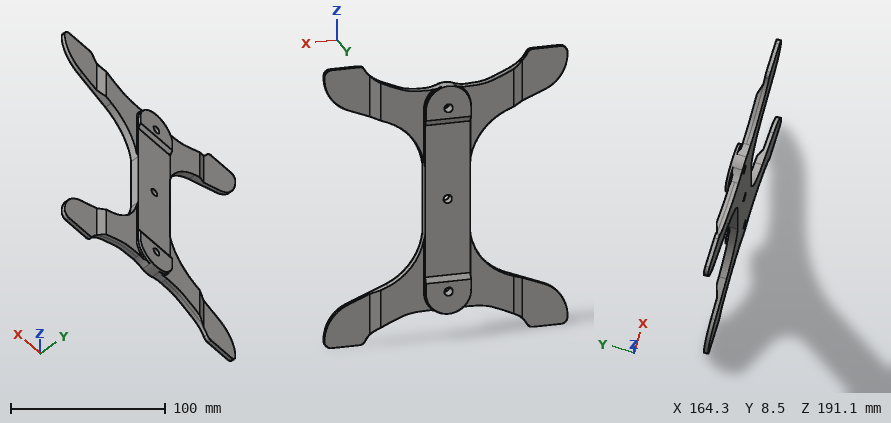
import cadquery as cq
import math

width = 164.3
height = 191.1
plate_level = 2.9
arm_level = 5.4
spine_level = 6.5
boss_level = 8.5

spine_half_width = 15.3
flare_width = 0.5
hole_diameter = 5.5
hole_spacing = 63.0
boss_ramp_top = 56.0
boss_ramp_foot = 52.2

ramp_top_x = 45.1
ramp_foot_x = 51.6

crown_half_width = 4.5
scoop_bottom = (13.4, 75.7)
scoop_middle = (35.4, 79.9)
scoop_shoulder = (48.3, 86.2)
scoop_top = (54.8, 93.0)
scoop_start_direction = (-0.5, -0.85)
pad_inner_x = 58.7
pad_outer_x = 78.4
toe_side_z = 90.8
toe_belly = (76.5, 74.1)
toe_heel = (65.5, 66.5)
throat_top = (40.1, 56.4)
throat_middle = (24.0, 44.3)
throat_bottom_z = 23.5
inner_corner = (56.2, 94.8)
outer_corner = (80.8, 94.2)


def crown_height(x):
    """Z of the rounded crown, which is concentric with the end screw hole."""
    return hole_spacing + math.sqrt(spine_half_width**2 - x**2)


def quarter_outline():
    """Upper right quarter of the plate, as a sketch in X and Z."""
    side_x = width / 2
    top_z = height / 2
    crown_edge = (crown_half_width, crown_height(crown_half_width))
    crown_middle = (crown_half_width / 2, crown_height(crown_half_width / 2))
    return (
        cq.Workplane("XZ")
        .lineTo(spine_half_width, 0)
        .lineTo(spine_half_width, throat_bottom_z)
        .threePointArc(throat_middle, throat_top)
        .lineTo(*toe_heel)
        .threePointArc(toe_belly, (side_x, toe_side_z))
        .threePointArc(outer_corner, (pad_outer_x, top_z))
        .lineTo(pad_inner_x, top_z)
        .threePointArc(inner_corner, scoop_top)
        .spline(
            [scoop_shoulder, scoop_middle, scoop_bottom],
            tangents=[scoop_start_direction, (-1, 0)],
            includeCurrent=True,
        )
        .tangentArcPoint(crown_edge, relative=False)
        .threePointArc(crown_middle, (0, crown_height(0)))
        .close()
    )


def full_outline(thickness):
    """The X-shaped outline, extruded back from the front face."""
    quarter = quarter_outline().extrude(-thickness)
    half = quarter.union(quarter.mirror("YZ"))
    return half.union(half.mirror("XY"))


def spine_slot(start, end, margin=0.0, taper=0.0):
    """Round-ended bar along Z between two Y levels."""
    half_width = spine_half_width + margin
    length = 2 * (hole_spacing + half_width)
    return (
        cq.Workplane("XZ", origin=(0, start, 0))
        .slot2D(length, 2 * half_width, 90)
        .extrude(-(end - start), taper=taper)
    )


def arm_layer():
    """Second layer over the arms, ramping down to the plate at both sides."""
    ramp_profile = (
        cq.Workplane("XY")
        .polyline([
            (-ramp_foot_x, 0),
            (ramp_foot_x, 0),
            (ramp_foot_x, plate_level),
            (ramp_top_x, arm_level),
            (-ramp_top_x, arm_level),
            (-ramp_foot_x, plate_level),
        ])
        .close()
        .extrude(height / 2, both=True)
    )
    return full_outline(arm_level).intersect(ramp_profile)


def spine():
    """Bar with a slight flare at its foot, trimmed to the outline."""
    flare_angle = math.degrees(math.atan2(flare_width, spine_level - arm_level))
    bar = spine_slot(arm_level, spine_level, margin=flare_width, taper=flare_angle)
    return bar.intersect(full_outline(spine_level))


def end_bosses():
    """Raised pads on both ends of the spine, each with a ramp facing the middle."""
    boss = spine_slot(spine_level, boss_level)
    recess = (
        cq.Workplane("YZ")
        .polyline([
            (spine_level, -boss_ramp_foot),
            (spine_level, boss_ramp_foot),
            (boss_level, boss_ramp_top),
            (boss_level, -boss_ramp_top),
        ])
        .close()
        .extrude(width / 2, both=True)
    )
    return boss.cut(recess)


def screw_holes():
    """Three through holes along the spine."""
    centres = [(0, z) for z in (-hole_spacing, 0, hole_spacing)]
    return (
        cq.Workplane("XZ")
        .pushPoints(centres)
        .circle(hole_diameter / 2)
        .extrude(-boss_level)
    )


result = (
    full_outline(plate_level)
    .union(arm_layer())
    .union(spine())
    .union(end_bosses())
    .cut(screw_holes())
)